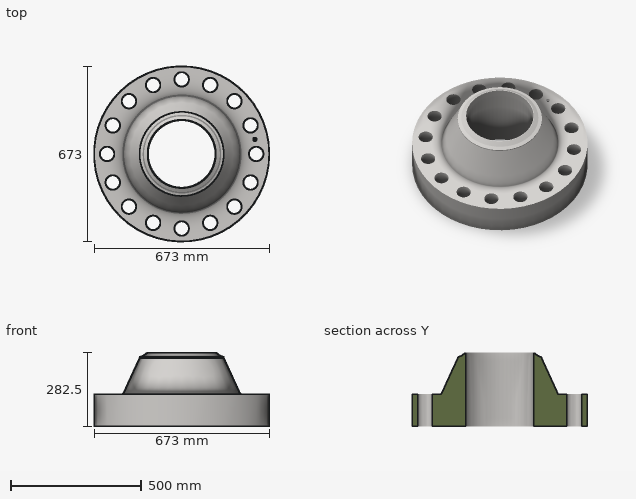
import cadquery as cq
import math

flange_diameter = 673.0
flange_thickness = 124.0

hub_base_radius = 225.0
hub_land_radius = 161.5
hub_taper_top = 262.0
hub_land_top = 266.0
bevel_base_radius = 148.0
bevel_base_height = 270.5
hub_rim_radius = 131.0
total_height = 282.5
bore_diameter = 258.5
base_fillet_radius = 3.5
bevel_fillet_radius = 4.0

selection_margin = 1.0

bolt_count = 16
bolt_circle_radius = 286.0
bolt_hole_diameter = 54.5
bolt_pitch_angle = 360.0 / bolt_count

small_hole_mouth_diameter = 13.5
small_hole_mouth_depth = 3.5
small_hole_diameter = 7.5
small_hole_depth = 27.0
small_hole_angle = math.radians(bolt_pitch_angle / 2)


def fillet_ring(body, ring_radius, height, fillet_radius):
    """Round the circular edge of the given radius at the given height."""
    reach = ring_radius + selection_margin
    corner_low = (-reach, -reach, height - selection_margin)
    corner_high = (reach, reach, height + selection_margin)
    ring = cq.selectors.BoxSelector(corner_low, corner_high, boundingbox=True)
    return body.edges(ring).edges("%CIRCLE").fillet(fillet_radius)


def make_flange_and_hub():
    """Solid of revolution for the flange plate, tapered hub and weld bevel."""
    profile = (
        cq.Workplane("XZ")
        .moveTo(0, 0)
        .lineTo(flange_diameter / 2, 0)
        .lineTo(flange_diameter / 2, flange_thickness)
        .lineTo(hub_base_radius, flange_thickness)
        .lineTo(hub_land_radius, hub_taper_top)
        .lineTo(hub_land_radius, hub_land_top)
        .lineTo(bevel_base_radius, bevel_base_height)
        .lineTo(hub_rim_radius, total_height)
        .lineTo(0, total_height)
        .close()
    )
    body = profile.revolve(360, (0, 0, 0), (0, 1, 0))
    body = fillet_ring(body, hub_base_radius, flange_thickness, base_fillet_radius)
    return fillet_ring(body, bevel_base_radius, bevel_base_height, bevel_fillet_radius)


def make_bore():
    """Through bore on the flange axis."""
    return cq.Workplane("XY").circle(bore_diameter / 2).extrude(total_height)


def make_bolt_holes():
    """Evenly spaced through holes, the first one on +X."""
    return (
        cq.Workplane("XY")
        .polarArray(bolt_circle_radius, 0, 360, bolt_count)
        .circle(bolt_hole_diameter / 2)
        .extrude(flange_thickness)
    )


def make_small_hole():
    """Blind stepped hole in the top face of the flange plate."""
    hole_center = (
        cq.Workplane("XY")
        .workplane(offset=flange_thickness)
        .center(
            bolt_circle_radius * math.cos(small_hole_angle),
            bolt_circle_radius * math.sin(small_hole_angle),
        )
    )
    mouth = hole_center.circle(small_hole_mouth_diameter / 2).extrude(-small_hole_mouth_depth)
    drilling = hole_center.circle(small_hole_diameter / 2).extrude(-small_hole_depth)
    return mouth.union(drilling)


result = (
    make_flange_and_hub()
    .cut(make_bore())
    .cut(make_bolt_holes())
    .cut(make_small_hole())
)